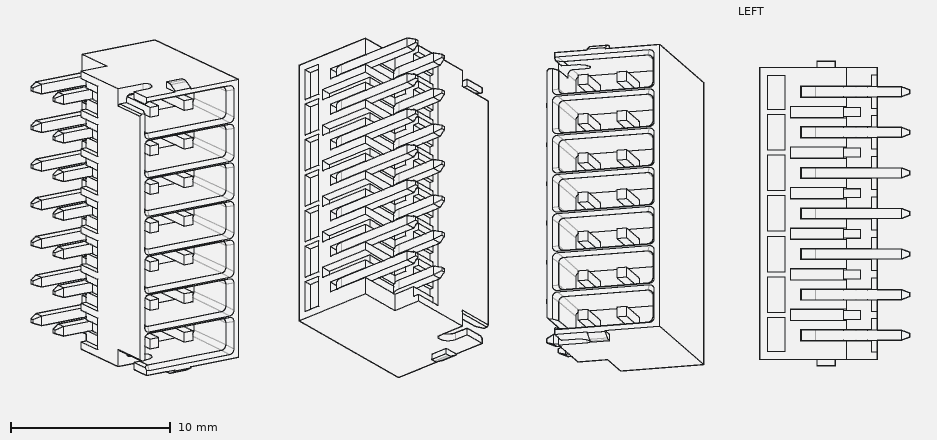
import cadquery as cq
import math


POSITIONS = 7
ROWS = 2
PITCH = 2.54
END_MARGIN = 0.25

DIAGONAL = math.sqrt(0.5)

LENGTH = 9.64
BODY_DEPTH = 7.37
HEIGHT = POSITIONS * PITCH + 2 * END_MARGIN
TOP = HEIGHT / 2
STEP_X = 2.86
STEP_DEPTH = 5.44

PIN = 0.64
ROW_PITCH = 2.54
PIN_BEND_OUTER = 0.93
PIN_BEND_INNER = PIN_BEND_OUTER - PIN
FIRST_ROW_DEPTH = 2.56
PIN_END_X = 8.3
PIN_TIP_DEPTH = 9.39
TIP_LENGTH = 0.52
TIP_SIDE = 0.24
PIN_SLOT_WIDTH = 0.70
STEP_GROOVE_DEPTH = 0.20

CELL_HEIGHT = 2.08
CELL_WALL = 0.61
CELL_FLOOR_X = 5.5
CELL_RADIUS = 0.32
CELL_DRAFT = 0.5
MOUTH_LENGTH = 0.54
MOUTH_FLARE_Y = 0.25
MOUTH_FLARE_Z = 0.18

BACK_POCKET_START = 0.50
BACK_POCKET_END = 1.58
BACK_POCKET_HEIGHT = 2.22
BACK_POCKET_END_WALL = 0.50
BACK_POCKET_X = 0.50
FRONT_POCKET_X = 4.74
FRONT_POCKET_DEPTH = 0.39
FRONT_POCKET_HEIGHT = 2.08
FRONT_GROOVE_DEPTH = 0.25

CODING_START = 1.93
CODING_X = 0.65
CODING_WIDE = 0.72
CODING_NARROW = 0.55
CODING_FLOOR_DEPTH = 5.25
CODING_NOTCH_END = 6.30
CODING_NOTCH_X = 0.20

SLOT_X0 = 7.13
SLOT_X1 = 8.17
SLOT_SMALL_RADIUS = 0.31
SLOT_LARGE_RADIUS = SLOT_X1 - SLOT_X0 - SLOT_SMALL_RADIUS
SLOT_APEX_DEPTH = 5.20
TONGUE_EDGE_DEPTH = 6.87
WALL_DROP = 1.02
WALL_CHAMFER = 0.12

BUMP_HEIGHT = 0.40
BUMP_X0 = 8.63
BUMP_FLAT_X = 8.89
BUMP_SLOPE_X = 9.13
BUMP_SLOPE_HEIGHT = 0.35
BUMP_END_HEIGHT = 0.06
BUMP_UNDERCUT = 0.03
BUMP_START = 3.57
BUMP_END = 4.74


def block(x0, x1, depth0, depth1, z0, z1):
    """Box between two X values, two depths and two heights."""
    size = (x1 - x0, depth1 - depth0, z1 - z0)
    return cq.Workplane("XY").box(*size, centered=False).translate((x0, -depth1, z0))


def centred_block(x0, x1, depth0, depth1, z, height):
    return block(x0, x1, depth0, depth1, z - height / 2, z + height / 2)


def housing():
    outline = [
        (0, 0),
        (LENGTH, 0),
        (LENGTH, -BODY_DEPTH),
        (STEP_X, -BODY_DEPTH),
        (STEP_X, -STEP_DEPTH),
        (0, -STEP_DEPTH),
    ]
    return cq.Workplane("XY").polyline(outline).close().extrude(HEIGHT / 2, both=True)


def rounded_rectangle(width, height):
    return cq.Sketch().rect(width, height).vertices().fillet(CELL_RADIUS)


def cavity(z):
    """Drafted, round-cornered plug cavity with a flared mouth."""
    width = BODY_DEPTH - 2 * CELL_WALL
    cell = rounded_rectangle(width, CELL_HEIGHT)
    flare = rounded_rectangle(width + 2 * MOUTH_FLARE_Y, CELL_HEIGHT + 2 * MOUTH_FLARE_Z)
    mouth = cq.Workplane("YZ", origin=(LENGTH, -BODY_DEPTH / 2, z))
    straight = mouth.placeSketch(cell).extrude(-(LENGTH - CELL_FLOOR_X), taper=CELL_DRAFT)
    inward = cq.Location(cq.Vector(0, 0, -MOUTH_LENGTH))
    lead_in = mouth.placeSketch(flare, cell.moved(inward)).loft()
    return straight.union(lead_in)


def position_pockets(z):
    """Back pocket, pin slots and front pocket of one position."""
    front_floor = BODY_DEPTH - FRONT_POCKET_DEPTH
    groove_floor = front_floor - FRONT_GROOVE_DEPTH
    step_floor = STEP_DEPTH - STEP_GROOVE_DEPTH
    second_pin_x = ROW_PITCH + PIN
    back_top = min(z + BACK_POCKET_HEIGHT / 2, TOP - BACK_POCKET_END_WALL)
    back_bottom = max(z - BACK_POCKET_HEIGHT / 2, BACK_POCKET_END_WALL - TOP)
    pockets = block(0, BACK_POCKET_X, BACK_POCKET_START, BACK_POCKET_END, back_bottom, back_top)
    front = centred_block(STEP_X, FRONT_POCKET_X, front_floor, BODY_DEPTH, z, FRONT_POCKET_HEIGHT)
    pin_slots = [
        (0, PIN, FIRST_ROW_DEPTH, STEP_DEPTH),
        (PIN, STEP_X, step_floor, STEP_DEPTH),
        (STEP_X, second_pin_x, step_floor, front_floor),
        (STEP_X, FRONT_POCKET_X, groove_floor, front_floor),
    ]
    pockets = pockets.union(front)
    for limits in pin_slots:
        pockets = pockets.union(centred_block(*limits, z, PIN_SLOT_WIDTH))
    return pockets


def coding_slot(z):
    """Slot tapering in X, cut into the pin-side face, the step floor and the step wall."""
    end_x = STEP_X + CODING_NOTCH_X
    taper = [
        (0, z - CODING_WIDE / 2),
        (end_x, z - CODING_NARROW / 2),
        (end_x, z + CODING_NARROW / 2),
        (0, z + CODING_WIDE / 2),
    ]
    wedge = cq.Workplane("XZ").polyline(taper).close().extrude(CODING_NOTCH_END)
    face_slot = centred_block(0, CODING_X, CODING_START, STEP_DEPTH, z, CODING_WIDE)
    floor_slot = centred_block(0, end_x, CODING_FLOOR_DEPTH, CODING_NOTCH_END, z, CODING_WIDE)
    return wedge.intersect(face_slot.union(floor_slot))


def pin(row, z):
    """Square pin: leg along X, bend, leg along -Y, tapered tip."""
    x0 = row * ROW_PITCH
    y0 = -(FIRST_ROW_DEPTH + row * ROW_PITCH)
    shoulder = -(PIN_TIP_DEPTH - TIP_LENGTH)
    bend_x = x0 + PIN_BEND_OUTER
    bend_y = y0 - PIN_BEND_OUTER
    outer_mid = (bend_x - PIN_BEND_OUTER * DIAGONAL, bend_y + PIN_BEND_OUTER * DIAGONAL)
    inner_mid = (bend_x - PIN_BEND_INNER * DIAGONAL, bend_y + PIN_BEND_INNER * DIAGONAL)
    shank = (
        cq.Workplane("XY", origin=(0, 0, z))
        .moveTo(x0, shoulder)
        .lineTo(x0, bend_y)
        .threePointArc(outer_mid, (bend_x, y0))
        .lineTo(PIN_END_X, y0)
        .lineTo(PIN_END_X, y0 - PIN)
        .lineTo(bend_x, y0 - PIN)
        .threePointArc(inner_mid, (x0 + PIN, bend_y))
        .lineTo(x0 + PIN, shoulder)
        .close()
        .extrude(PIN / 2, both=True)
    )
    tip = (
        cq.Workplane("XZ", origin=(x0 + PIN / 2, shoulder, z))
        .rect(PIN, PIN)
        .workplane(offset=TIP_LENGTH)
        .rect(TIP_SIDE, TIP_SIDE)
        .loft()
    )
    return shank.union(tip)


def tongue_slot():
    """Round-ended slot in the top wall and cut-away upper edge of the front wall."""
    ceiling = TOP - (PITCH / 2 + END_MARGIN - CELL_HEIGHT / 2)
    wall_top = TOP - WALL_DROP
    apex_x = SLOT_X0 + SLOT_SMALL_RADIUS
    small_centre_y = -(SLOT_APEX_DEPTH + SLOT_SMALL_RADIUS)
    large_centre_y = -(SLOT_APEX_DEPTH + SLOT_LARGE_RADIUS)
    small_mid = (apex_x - SLOT_SMALL_RADIUS * DIAGONAL, small_centre_y + SLOT_SMALL_RADIUS * DIAGONAL)
    large_mid = (apex_x + SLOT_LARGE_RADIUS * DIAGONAL, large_centre_y + SLOT_LARGE_RADIUS * DIAGONAL)
    slot = (
        cq.Workplane("XY", origin=(0, 0, ceiling - CELL_RADIUS))
        .moveTo(SLOT_X0, -TONGUE_EDGE_DEPTH)
        .lineTo(SLOT_X0, small_centre_y)
        .threePointArc(small_mid, (apex_x, -SLOT_APEX_DEPTH))
        .threePointArc(large_mid, (SLOT_X1, large_centre_y))
        .lineTo(SLOT_X1, -TONGUE_EDGE_DEPTH)
        .close()
        .extrude(TOP - ceiling + CELL_RADIUS)
    )
    inner_face = BODY_DEPTH - CELL_WALL - CELL_RADIUS
    edge_gap = block(SLOT_X0, LENGTH, TONGUE_EDGE_DEPTH, BODY_DEPTH, wall_top, TOP)
    wall_gap = block(SLOT_X0, LENGTH, inner_face, BODY_DEPTH, wall_top, ceiling)
    chamfer = (
        cq.Workplane("YZ", origin=(SLOT_X0, 0, 0))
        .moveTo(-BODY_DEPTH, wall_top - WALL_CHAMFER)
        .lineTo(-BODY_DEPTH + WALL_CHAMFER, wall_top)
        .lineTo(-BODY_DEPTH, wall_top)
        .close()
        .extrude(LENGTH - SLOT_X0)
    )
    return slot.union(edge_gap).union(wall_gap).union(chamfer)


def latch_bump():
    """Ramped bump on the top face, slightly undercut on its catching side."""
    return (
        cq.Workplane("XZ", origin=(0, -BUMP_START, TOP))
        .moveTo(BUMP_X0 + BUMP_UNDERCUT, 0)
        .lineTo(BUMP_X0, BUMP_HEIGHT)
        .lineTo(BUMP_FLAT_X, BUMP_HEIGHT)
        .tangentArcPoint((BUMP_SLOPE_X, BUMP_SLOPE_HEIGHT), relative=False)
        .lineTo(LENGTH, BUMP_END_HEIGHT)
        .lineTo(LENGTH, 0)
        .close()
        .extrude(BUMP_END - BUMP_START)
    )


position_heights = [(i - (POSITIONS - 1) / 2) * PITCH for i in range(POSITIONS)]

result = housing()
for height in position_heights:
    result = result.cut(cavity(height)).cut(position_pockets(height))
for height in position_heights[:-1]:
    result = result.cut(coding_slot(height + PITCH / 2))

upper_slot = tongue_slot()
upper_bump = latch_bump()
result = result.cut(upper_slot).cut(upper_slot.mirror("XY"))
result = result.union(upper_bump).union(upper_bump.mirror("XY"))

for height in position_heights:
    for row in range(ROWS):
        result = result.union(pin(row, height))